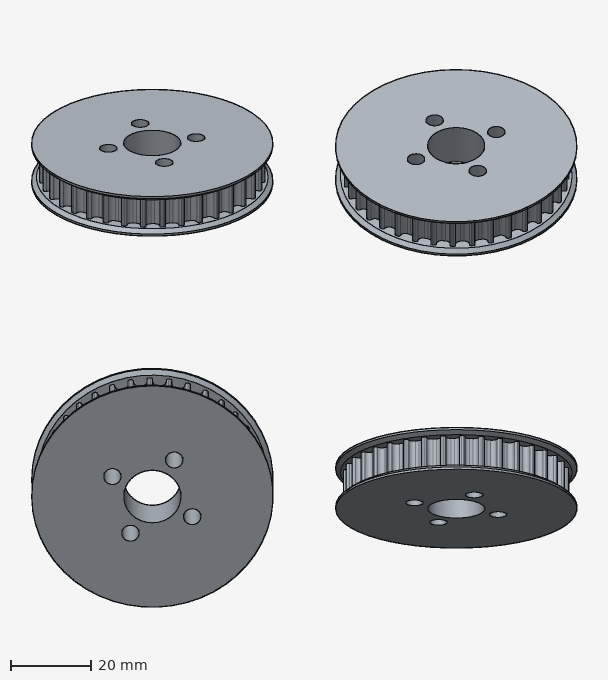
import cadquery as cq
import math

flange_diameter = 60.01
total_height = 11.0

flange_thickness = 1.5
rim_height = 0.6
bevel_width = 1.21

tooth_count = 36
belt_pitch = 5.0
pitch_line_offset = 0.57
groove_depth = 2.06
groove_floor_width = 0.89
land_angle = 0.8
tooth_tip_radius = 0.5

bore_diameter = 14.2
bolt_hole_diameter = 4.3
bolt_spacing = 16.0

flange_radius = flange_diameter / 2
bevel_inner_radius = flange_radius - bevel_width
track_height = total_height - 2 * flange_thickness
tooth_radius = tooth_count * belt_pitch / (2 * math.pi) - pitch_line_offset
pitch_angle = 360 / tooth_count


def make_blank():
    """Spool with two bevelled flanges and a plain track, revolved about Z."""
    top = total_height / 2
    track_top = track_height / 2
    rim_bottom = top - rim_height
    return (
        cq.Workplane("XZ")
        .moveTo(0, -top)
        .lineTo(flange_radius, -top)
        .lineTo(flange_radius, -rim_bottom)
        .lineTo(bevel_inner_radius, -track_top)
        .lineTo(tooth_radius, -track_top)
        .lineTo(tooth_radius, track_top)
        .lineTo(bevel_inner_radius, track_top)
        .lineTo(flange_radius, rim_bottom)
        .lineTo(flange_radius, top)
        .lineTo(0, top)
        .close()
        .revolve(360, (0, 0, 0), (0, 1, 0))
    )


def make_groove_cutter():
    """Belt groove on the +X side: two corner arcs meet the tooth-tip arcs tangentially."""
    floor_x = tooth_radius - groove_depth
    floor_half = groove_floor_width / 2

    tip_angle = math.radians(pitch_angle - land_angle) / 2
    tip_centre_radius = tooth_radius - tooth_tip_radius
    tip_x = tip_centre_radius * math.cos(tip_angle)
    tip_y = tip_centre_radius * math.sin(tip_angle)
    tip_end_x = tooth_radius * math.cos(tip_angle)
    tip_end_y = tooth_radius * math.sin(tip_angle)

    rise = tip_x - floor_x
    offset = tip_y - floor_half
    corner_radius = (rise**2 + offset**2 - tooth_tip_radius**2) / (2 * (rise + tooth_tip_radius))
    corner_x = floor_x + corner_radius
    join_angle = math.atan2(tip_x - corner_x, tip_y - floor_half)
    join_x = corner_x + corner_radius * math.sin(join_angle)
    join_y = floor_half + corner_radius * math.cos(join_angle)

    corner_mid_angle = (join_angle - math.pi / 2) / 2
    corner_mid_x = corner_x + corner_radius * math.sin(corner_mid_angle)
    corner_mid_y = floor_half + corner_radius * math.cos(corner_mid_angle)
    tip_mid_angle = (tip_angle - math.pi / 2 - join_angle) / 2
    tip_mid_x = tip_x + tooth_tip_radius * math.cos(tip_mid_angle)
    tip_mid_y = tip_y + tooth_tip_radius * math.sin(tip_mid_angle)

    return (
        cq.Workplane("XY", origin=(0, 0, -track_height / 2))
        .moveTo(floor_x, -floor_half)
        .lineTo(floor_x, floor_half)
        .threePointArc((corner_mid_x, corner_mid_y), (join_x, join_y))
        .threePointArc((tip_mid_x, tip_mid_y), (tip_end_x, tip_end_y))
        .threePointArc((tooth_radius, 0), (tip_end_x, -tip_end_y))
        .threePointArc((tip_mid_x, -tip_mid_y), (join_x, -join_y))
        .threePointArc((corner_mid_x, -corner_mid_y), (floor_x, -floor_half))
        .close()
        .extrude(track_height)
    )


def cut_grooves(body):
    """Cut one belt groove per tooth around the track."""
    cutter = make_groove_cutter()
    for index in range(tooth_count):
        body = body.cut(cutter.rotate((0, 0, 0), (0, 0, 1), index * pitch_angle))
    return body


def cut_holes(body):
    """Cut the central bore and the square pattern of four bolt holes."""
    body = body.faces(">Z").workplane(origin=(0, 0, 0)).hole(bore_diameter)
    return (
        body.faces(">Z")
        .workplane(origin=(0, 0, 0))
        .rect(bolt_spacing, bolt_spacing, forConstruction=True)
        .vertices()
        .hole(bolt_hole_diameter)
    )


result = cut_holes(cut_grooves(make_blank()))